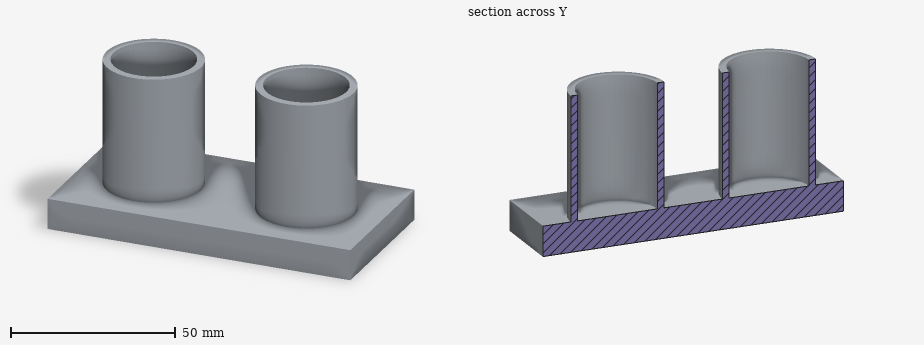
import cadquery as cq

plate_length = 100.0
plate_width = 50.0
plate_thickness = 10.0

tube_outer_diameter = 31.2
tube_inner_diameter = 26.4
tube_height = 40.8
tube_spacing = 50.4
tube_offset_y = -0.7


def make_plate():
    return cq.Workplane("XY").box(
        plate_length, plate_width, plate_thickness, centered=(True, True, False)
    )


def make_tube(center_x):
    """Open tube standing on the plate, with the plate top as its floor."""
    return (
        cq.Workplane("XY", origin=(center_x, tube_offset_y, plate_thickness))
        .circle(tube_outer_diameter / 2)
        .circle(tube_inner_diameter / 2)
        .extrude(tube_height)
    )


result = make_plate()
for side in (-1, 1):
    result = result.union(make_tube(side * tube_spacing / 2))